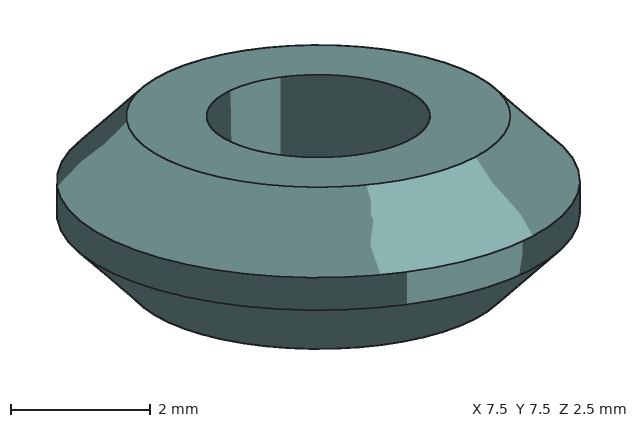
import cadquery as cq

outer_diameter = 7.5
bore_diameter = 3.2
thickness = 2.5
bevel = 1.0

ring = (
    cq.Workplane("XY", origin=(0, 0, -thickness / 2))
    .circle(outer_diameter / 2)
    .circle(bore_diameter / 2)
    .extrude(thickness)
)

outer_rims = ring.faces("|Z").edges(cq.selectors.RadiusNthSelector(-1))
result = outer_rims.chamfer(bevel)